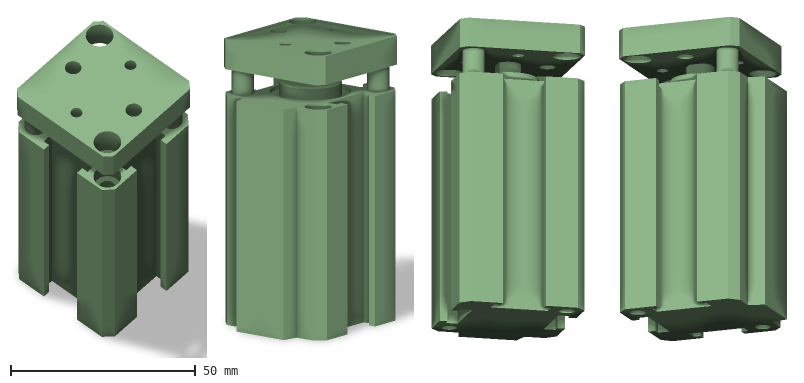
import cadquery as cq

side = 35.0
total_height = 79.0
total_depth = 39.5
housing_height = 64.0
plate_thickness = 8.0
plate_bottom = total_height - plate_thickness
half_side = side / 2

housing_chamfer = 2.5
plate_chamfer = 2.0

slot_mouth_width = 12.0
slot_undercut_width = 15.95
slot_lip_thickness = 2.1
slot_depth = 5.45

rail_height = total_depth - side
rail_tip_width = 16.3
rail_root_width = 18.4

corner_offset = 13.0
guide_rod_diameter = 6.0
screw_hole_diameter = 4.3
screw_head_diameter = 7.5
screw_head_depth = 4.5

recess_diameter = 22.0
recess_depth = 1.0
collar_diameter = 17.0
collar_height = 3.0
collar_chamfer = 0.5
collar_top = housing_height + collar_height

piston_rod_diameter = 8.0
piston_rod_chamfer = 0.5
flat_spacing = 6.0
flat_length = 3.0

plate_hole_offset = 11.0
large_plate_hole_diameter = 4.5
small_plate_hole_diameter = 3.2

guide_rod_points = [(-corner_offset, -corner_offset), (corner_offset, corner_offset)]
screw_points = [(-corner_offset, corner_offset), (corner_offset, -corner_offset)]


def chamfered_block(bottom, height, chamfer):
    """Square block with its four upright edges chamfered."""
    block = cq.Workplane("XY").workplane(offset=bottom).rect(side, side).extrude(height)
    return block.edges("|Z").chamfer(chamfer)


def cylinders(points, diameter, bottom, top):
    """Upright cylinders at the given points, from bottom to top."""
    base = cq.Workplane("XY").workplane(offset=bottom).pushPoints(points)
    return base.circle(diameter / 2).extrude(top - bottom)


def t_slot(angle):
    """Full-height T-slot cutter for the +X face, turned about Z by angle."""
    mouth = cq.Workplane("XY").box(
        slot_depth, slot_mouth_width, housing_height, centered=(False, True, False)
    )
    undercut = cq.Workplane("XY").box(
        slot_depth - slot_lip_thickness, slot_undercut_width, housing_height, centered=(False, True, False)
    )
    cutter = mouth.union(undercut).translate((half_side - slot_depth, 0, 0))
    return cutter.rotate((0, 0, 0), (0, 0, 1), angle)


def rail():
    """Full-height tapered rail on the +Y face."""
    outline = [
        (-rail_root_width / 2, half_side),
        (rail_root_width / 2, half_side),
        (rail_tip_width / 2, half_side + rail_height),
        (-rail_tip_width / 2, half_side + rail_height),
    ]
    return cq.Workplane("XY").polyline(outline).close().extrude(housing_height)


def collar():
    """Bearing collar with a chamfered top edge, rising from the recess floor."""
    body = cylinders([(0, 0)], collar_diameter, housing_height - recess_depth, collar_top)
    return body.faces(">Z").chamfer(collar_chamfer)


def make_housing():
    body = chamfered_block(0, housing_height, housing_chamfer).union(rail())
    for angle in (0, 180, 270):
        body = body.cut(t_slot(angle))
    body = body.cut(cylinders(screw_points, screw_hole_diameter, 0, housing_height))
    body = body.cut(
        cylinders(screw_points, screw_head_diameter, housing_height - screw_head_depth, housing_height)
    )
    recess = cylinders([(0, 0)], recess_diameter, housing_height - recess_depth, housing_height)
    return body.cut(recess).union(collar())


def piston_rod():
    """Rod from the collar to the plate, with two flats facing -X and +X."""
    rod = cylinders([(0, 0)], piston_rod_diameter, collar_top, plate_bottom)
    rod = rod.faces(">Z").chamfer(piston_rod_chamfer)
    flat_zone = cq.Workplane("XY").workplane(offset=plate_bottom - flat_length)
    waste = flat_zone.rect(side, side).rect(flat_spacing, side).extrude(flat_length)
    return rod.cut(waste)


def make_carriage():
    """End plate in one piece with the guide rods and the piston rod."""
    plate = chamfered_block(plate_bottom, plate_thickness, plate_chamfer)
    x_points = [(-plate_hole_offset, 0), (plate_hole_offset, 0)]
    y_points = [(0, -plate_hole_offset), (0, plate_hole_offset)]
    for points, diameter in (
        (x_points, large_plate_hole_diameter),
        (y_points, small_plate_hole_diameter),
        (screw_points, screw_head_diameter),
    ):
        plate = plate.cut(cylinders(points, diameter, plate_bottom, total_height))
    guide_rods = cylinders(guide_rod_points, guide_rod_diameter, housing_height, plate_bottom)
    return plate.union(guide_rods).union(piston_rod())


housing = make_housing()
carriage = make_carriage()

result = cq.Compound.makeCompound([housing.val(), carriage.val()])